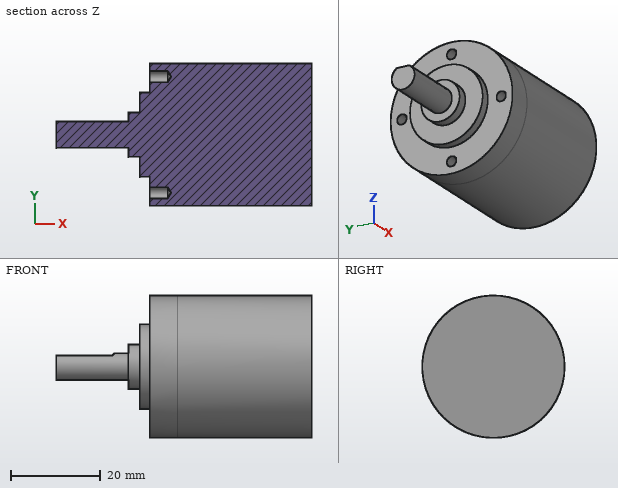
import cadquery as cq
import math

total_length = 57.3
collar_start = 16.15
pilot_start = 18.7
cap_start = 21.0
housing_start = 27.1

shaft_diameter = 6.0
collar_diameter = 10.0
pilot_diameter = 19.0
body_diameter = 32.0

flat_length = 12.55
flat_height = 2.5

hole_count = 4
hole_diameter = 2.45
hole_circle_radius = 13.0
hole_depth = 4.0
drill_point_angle = 118.0


def step(diameter, start, end):
    """Cylinder along X between two stations."""
    return cq.Workplane("YZ", origin=(start, 0, 0)).circle(diameter / 2).extrude(end - start)


def flat_cutter():
    """Material removed above the shaft flat, including the ramp."""
    shaft_radius = shaft_diameter / 2
    ramp_rise = shaft_radius - flat_height
    return (
        cq.Workplane("XZ")
        .moveTo(0, flat_height)
        .lineTo(flat_length, flat_height)
        .lineTo(flat_length + ramp_rise, shaft_radius)
        .lineTo(0, shaft_radius)
        .close()
        .extrude(shaft_radius, both=True)
    )


def mounting_hole(angle):
    """Drilled hole with a conical bottom, at an angle around the X axis."""
    hole_radius = hole_diameter / 2
    point_depth = hole_radius / math.tan(math.radians(drill_point_angle / 2))
    hole_bottom = cap_start + hole_depth
    return (
        cq.Workplane("XY")
        .moveTo(cap_start, 0)
        .lineTo(cap_start, hole_radius)
        .lineTo(hole_bottom, hole_radius)
        .lineTo(hole_bottom + point_depth, 0)
        .close()
        .revolve(360, (0, 0, 0), (1, 0, 0))
        .translate((0, hole_circle_radius, 0))
        .rotate((0, 0, 0), (1, 0, 0), angle)
    )


shaft = step(shaft_diameter, 0, collar_start).cut(flat_cutter())
collar = step(collar_diameter, collar_start, pilot_start)
pilot = step(pilot_diameter, pilot_start, cap_start)
cap = step(body_diameter, cap_start, housing_start)
for index in range(hole_count):
    cap = cap.cut(mounting_hole(index * 360 / hole_count))
housing = step(body_diameter, housing_start, total_length)

result = shaft
for section in (collar, pilot, cap, housing):
    result = result.union(section, clean=False)